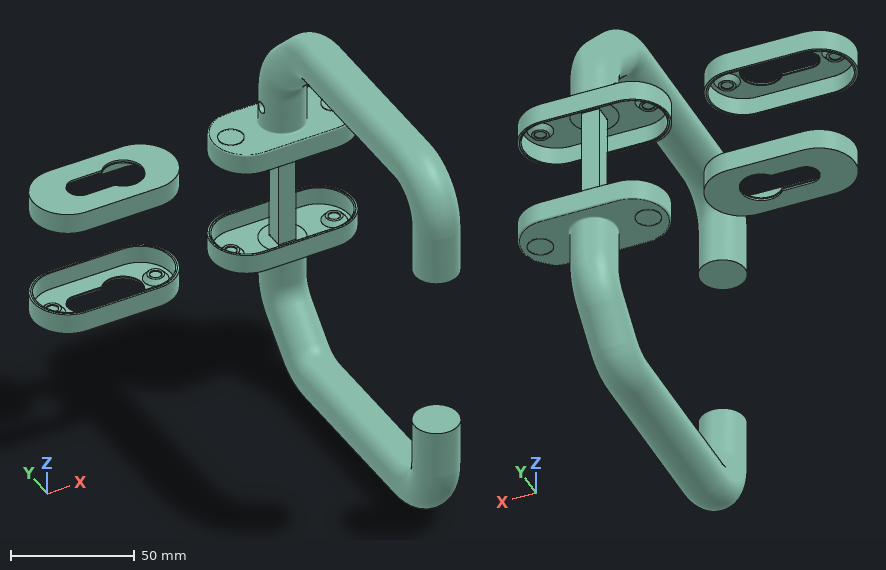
import cadquery as cq
import math


TUBE_RADIUS = 10.0
BEND_RADIUS = 2 * TUBE_RADIUS
HANDLE_REACH = 128.3
HANDLE_TOP = 90.1
FREE_END_Z = 37.9
ELBOW_SIZE = 33.2
STEM_FILLET = 0.81

ROSETTE_LENGTH = 65.6
ROSETTE_WIDTH = 31.9
ROSETTE_HEIGHT = 9.5
ROSETTE_TOP = 30.1
COVER_WALL = 0.9
HANDLE_COVER_THICKNESS = 0.45
HANDLE_COVER_FILLET = 0.9
KEY_COVER_THICKNESS = 0.9
KEY_ROSETTE_X = -83.0

PLATE_WALL = 0.7
PLATE_FLOOR = 0.5
BOSS_SPACING = 48.0
BOSS_RADIUS = 5.4
BOSS_TIP_RADIUS = 3.6
BOSS_HEIGHT = 2.2
BOSS_DIMPLE_RADIUS = 2.5
BOSS_DIMPLE_DEPTH = 0.5

KEY_CIRCLE_X = 8.8
KEY_CIRCLE_RADIUS = 8.8
KEY_SLOT_WIDTH = 11.2
KEY_SLOT_END_X = -16.8

SPINDLE_SIDE = 8.0
SPINDLE_LENGTH = 86.5
SCREW_HOLE_RADIUS = 2.5
SCREW_HOLE_Z = 40.0

rosette_bottom = ROSETTE_TOP - ROSETTE_HEIGHT
grip_z = HANDLE_TOP - TUBE_RADIUS
stem_end_z = ROSETTE_TOP - HANDLE_COVER_THICKNESS - PLATE_FLOOR
plate_height = ROSETTE_HEIGHT - KEY_COVER_THICKNESS
boss_points = [(-BOSS_SPACING / 2, 0), (BOSS_SPACING / 2, 0)]


def oblong(inset, bottom, top):
    """Solid with the rosette outline, offset inwards by inset."""
    return (
        cq.Workplane("XY", origin=(0, 0, bottom))
        .slot2D(ROSETTE_LENGTH - 2 * inset, ROSETTE_WIDTH - 2 * inset)
        .extrude(top - bottom)
    )


def boss_cylinders(radius, bottom, top):
    """A cylinder at each of the two boss positions."""
    return cq.Workplane("XY", origin=(0, 0, bottom)).pushPoints(boss_points).circle(radius).extrude(top - bottom)


def keyhole():
    """Profile cylinder opening through the full rosette height."""
    base = cq.Workplane("XY", origin=(0, 0, rosette_bottom))
    circle = base.center(KEY_CIRCLE_X, 0).circle(KEY_CIRCLE_RADIUS).extrude(ROSETTE_HEIGHT)
    slot_length = KEY_CIRCLE_X - KEY_SLOT_END_X
    slot_center_x = (KEY_CIRCLE_X + KEY_SLOT_END_X) / 2
    slot = base.center(slot_center_x, 0).slot2D(slot_length, KEY_SLOT_WIDTH).extrude(ROSETTE_HEIGHT)
    return circle.union(slot)


def tube():
    """Round bar swept up the stem, through the elbow, along the grip and back towards the door."""
    bend_long = BEND_RADIUS * math.sin(math.pi / 4)
    bend_short = BEND_RADIUS - bend_long
    elbow_start_z = grip_z - ELBOW_SIZE
    path = (
        cq.Workplane("YZ")
        .moveTo(0, stem_end_z)
        .lineTo(0, elbow_start_z)
        .radiusArc((-bend_short, elbow_start_z + bend_long), -BEND_RADIUS)
        .lineTo(-ELBOW_SIZE + bend_long, grip_z - bend_short)
        .radiusArc((-ELBOW_SIZE, grip_z), -BEND_RADIUS)
        .lineTo(-HANDLE_REACH + BEND_RADIUS, grip_z)
        .radiusArc((-HANDLE_REACH, grip_z - BEND_RADIUS), -BEND_RADIUS)
        .lineTo(-HANDLE_REACH, FREE_END_Z)
    )
    return cq.Workplane("XY", origin=(0, 0, stem_end_z)).circle(TUBE_RADIUS).sweep(path)


def make_handle():
    """Handle tube joined to its rosette cover, with a square socket for the spindle."""
    cover = oblong(0, rosette_bottom, ROSETTE_TOP).faces(">Z").edges().fillet(HANDLE_COVER_FILLET)
    cover_inner_z = ROSETTE_TOP - HANDLE_COVER_THICKNESS
    cover = cover.cut(oblong(COVER_WALL, rosette_bottom, cover_inner_z))
    stem_foot = cq.selectors.BoxSelector(
        (-TUBE_RADIUS, -TUBE_RADIUS, cover_inner_z + HANDLE_COVER_THICKNESS / 2),
        (TUBE_RADIUS, TUBE_RADIUS, ROSETTE_TOP + HANDLE_COVER_THICKNESS / 2),
    )
    handle = cover.union(tube()).edges(stem_foot).edges("%CIRCLE").fillet(STEM_FILLET)
    handle = handle.cut(boss_cylinders(BOSS_RADIUS, cover_inner_z, ROSETTE_TOP))
    return handle.cut(make_spindle())


def cut_screw_hole(handle):
    """Set screw hole from the -X side of the stem down to the spindle."""
    hole = (
        cq.Workplane("YZ", origin=(-TUBE_RADIUS, 0, SCREW_HOLE_Z))
        .circle(SCREW_HOLE_RADIUS)
        .extrude(TUBE_RADIUS - SPINDLE_SIDE / 2)
    )
    return handle.cut(hole)


def make_plate(top):
    """Open tray with two conical screw bosses, its closed face at height top."""
    bottom = top - plate_height
    floor_z = top - PLATE_FLOOR
    plate = oblong(COVER_WALL, bottom, top).cut(oblong(COVER_WALL + PLATE_WALL, bottom, floor_z))
    boss_taper = math.degrees(math.atan((BOSS_RADIUS - BOSS_TIP_RADIUS) / BOSS_HEIGHT))
    bosses = (
        cq.Workplane("XY", origin=(0, 0, floor_z))
        .pushPoints(boss_points)
        .circle(BOSS_RADIUS)
        .extrude(-BOSS_HEIGHT, taper=boss_taper)
    )
    tip_z = floor_z - BOSS_HEIGHT
    return plate.union(bosses).cut(boss_cylinders(BOSS_DIMPLE_RADIUS, tip_z, tip_z + BOSS_DIMPLE_DEPTH))


def make_handle_plate():
    """Base plate around the stem, with studs that end flush with the cover top."""
    top = ROSETTE_TOP - HANDLE_COVER_THICKNESS
    studs = boss_cylinders(BOSS_RADIUS, top, ROSETTE_TOP)
    stem_hole = cq.Workplane("XY", origin=(0, 0, stem_end_z)).circle(TUBE_RADIUS).extrude(PLATE_FLOOR)
    return make_plate(top).union(studs).cut(stem_hole)


def make_key_cover():
    """Plain rosette cover with the keyhole."""
    cavity = oblong(COVER_WALL, rosette_bottom, ROSETTE_TOP - KEY_COVER_THICKNESS)
    cover = oblong(0, rosette_bottom, ROSETTE_TOP).cut(cavity).cut(keyhole())
    return cover.translate((KEY_ROSETTE_X, 0, 0))


def make_key_plate():
    """Base plate with the keyhole, under the keyhole cover."""
    plate = make_plate(ROSETTE_TOP - KEY_COVER_THICKNESS).cut(keyhole())
    return plate.translate((KEY_ROSETTE_X, 0, 0))


def make_spindle():
    """Square bar through the door, reaching into both handles."""
    return cq.Workplane("XY").box(SPINDLE_SIDE, SPINDLE_SIDE, SPINDLE_LENGTH)


handle = make_handle()
upper_handle = cut_screw_hole(handle)
lower_handle = handle.mirror("XY")
bodies = [upper_handle.val(), lower_handle.val(), make_spindle().val()]

for part in (make_handle_plate(), make_key_cover(), make_key_plate()):
    bodies.append(part.val())
    bodies.append(part.mirror("XY").val())

result = cq.Compound.makeCompound(bodies)